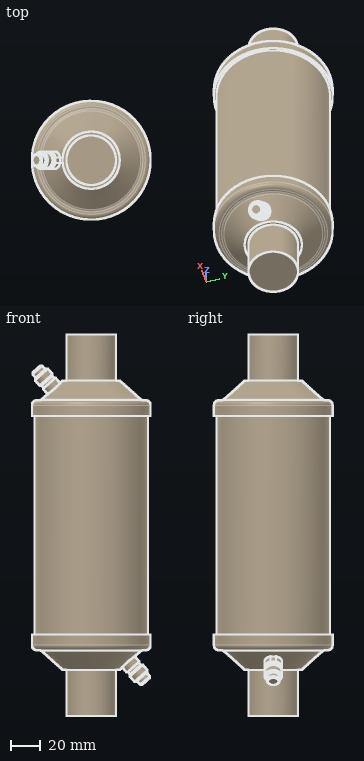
import cadquery as cq
import math

half_length = 128.5
pipe_radius = 16.7
shell_radius = 38.3
band_radius = 40.0
band_bottom_z = 73.5
shoulder_z = 84.3
band_round = 3.5
cone_top_radius = 19.3
cone_top_z = 97.5
cone_base_radius = 34.0
cone_base_round = 2.3

valve_foot_radius = 25.2
seat_depth = 1.3
collar_top = 4.5
collar_radius = 6.0
collar_across_flats = 11.3
neck_radius = 5.0
nut_bottom = 7.0
nut_top = 13.4
nut_radius = 6.0
nut_chamfer = 0.8
tip_top = 17.5
tip_radius = 4.4
tip_chamfer = 0.8

cone_drop = cone_top_z - shoulder_z
cone_run = cone_base_radius - cone_top_radius
cone_angle = math.atan2(cone_drop, cone_run)
valve_foot_z = cone_top_z - (valve_foot_radius - cone_top_radius) * math.tan(cone_angle)


def disc(bottom, top, radius):
    return cq.Workplane("XY").workplane(offset=bottom).circle(radius).extrude(top - bottom)


def make_upper_end():
    """Band, cone and pipe stub above the shell."""
    end = (
        cq.Workplane("XZ")
        .moveTo(0, band_bottom_z)
        .lineTo(band_radius, band_bottom_z)
        .lineTo(band_radius, shoulder_z)
        .lineTo(cone_base_radius, shoulder_z)
        .lineTo(cone_top_radius, cone_top_z)
        .lineTo(pipe_radius, cone_top_z)
        .lineTo(pipe_radius, half_length)
        .lineTo(0, half_length)
        .close()
        .revolve(360, (0, 0, 0), (0, 1, 0))
    )
    cone_base = cq.selectors.RadiusNthSelector(2)
    band_rim = cq.selectors.RadiusNthSelector(-1)
    end = end.edges(cone_base).fillet(cone_base_round)
    return end.edges(band_rim).edges(">Z").fillet(band_round)


def make_solid_housing():
    """Shell and both ends, before the valve seats are cut."""
    shell = disc(-band_bottom_z, band_bottom_z, shell_radius)
    upper_end = make_upper_end()
    return shell.union(upper_end).union(upper_end.mirror("XY"))


def make_collar():
    """Round collar with two opposite flats."""
    collar = disc(-seat_depth, collar_top, collar_radius)
    flats = cq.Workplane("XY").box(collar_across_flats, 2 * collar_radius, 2 * collar_top)
    return collar.intersect(flats)


def make_valve():
    """Valve standing on the XY plane with its axis along Z."""
    neck = disc(collar_top, nut_bottom, neck_radius)
    nut = disc(nut_bottom, nut_top, nut_radius).edges("%CIRCLE").chamfer(nut_chamfer)
    tip = disc(nut_top, tip_top, tip_radius).faces(">Z").edges().chamfer(tip_chamfer)
    return make_collar().union(neck).union(nut).union(tip)


def place(shape, turn):
    """Stand a valve shape on the upper cone, then turn it about the Y axis."""
    tilt = -math.degrees(cone_angle)
    on_cone = shape.rotate((0, 0, 0), (0, 1, 0), tilt)
    on_cone = on_cone.translate((-valve_foot_radius, 0, valve_foot_z))
    return on_cone.rotate((0, 0, 0), (0, 1, 0), turn)


housing = make_solid_housing()
valves = []
for turn in (0, 180):
    valve = place(make_valve(), turn)
    housing = housing.cut(valve)
    valves.append(valve.val())

result = cq.Compound.makeCompound([housing.val(), *valves])